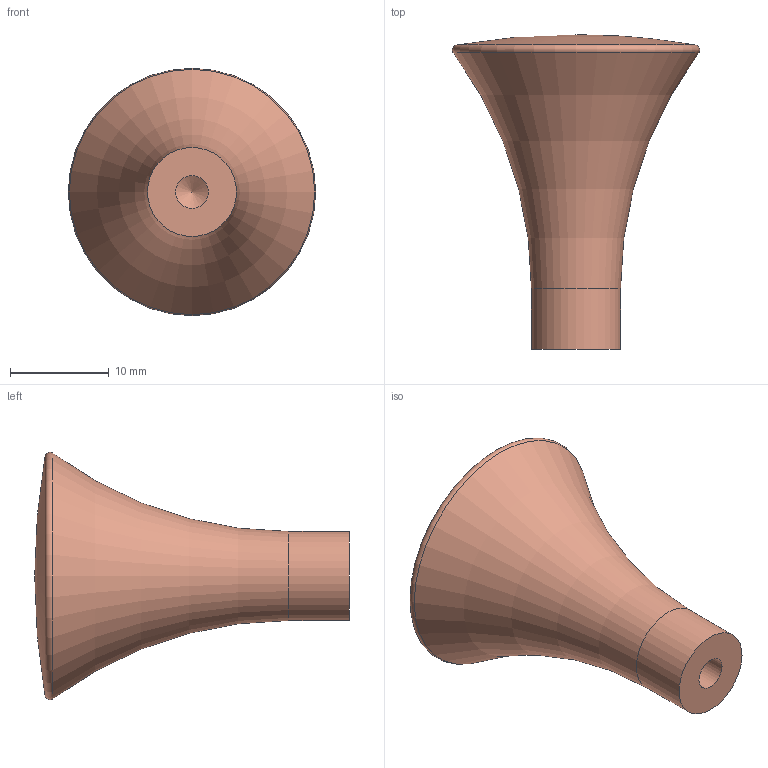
import cadquery as cq
import math

total_length = 31.8
head_radius = 12.5
stem_radius = 4.5
stem_length = 6.1
flare_radius = 40.0
rim_radius = 0.5
hole_diameter = 3.3
hole_depth = 10.0
drill_tip_angle = 118.0

flare_center_r = stem_radius + flare_radius

rim_center_r = head_radius - rim_radius
flare_to_rim_r = flare_center_r - rim_center_r
flare_to_rim_y = math.sqrt((flare_radius + rim_radius) ** 2 - flare_to_rim_r**2)
rim_center_y = stem_length + flare_to_rim_y
flare_sweep = math.atan2(flare_to_rim_y, flare_to_rim_r)

rim_to_peak = total_length - rim_center_y
dome_radius = (rim_center_r**2 + rim_to_peak**2 - rim_radius**2) / (2 * (rim_to_peak - rim_radius))
dome_center_y = total_length - dome_radius
dome_sweep = math.asin(rim_center_r / (dome_radius - rim_radius))


def flare_point(angle):
    """Point (radius, y) on the flare, at an angle measured from the end of the stem."""
    return (
        flare_center_r - flare_radius * math.cos(angle),
        stem_length + flare_radius * math.sin(angle),
    )


def dome_point(angle):
    """Point (radius, y) on the dome, at an angle measured from the axis."""
    return (
        dome_radius * math.sin(angle),
        dome_center_y + dome_radius * math.cos(angle),
    )


def make_body():
    """Stem, flare, rim and dome as one profile revolved about the Y axis."""
    profile = (
        cq.Workplane("XY")
        .moveTo(0, 0)
        .lineTo(stem_radius, 0)
        .lineTo(stem_radius, stem_length)
        .threePointArc(flare_point(flare_sweep / 2), flare_point(flare_sweep))
        .threePointArc((head_radius, rim_center_y), dome_point(dome_sweep))
        .threePointArc(dome_point(dome_sweep / 2), (0, total_length))
        .close()
    )
    return profile.revolve(360, (0, 0, 0), (0, 1, 0))


def make_hole():
    """Blind drilled hole from the stem end, with a conical bottom."""
    hole_radius = hole_diameter / 2
    tip_length = hole_radius / math.tan(math.radians(drill_tip_angle / 2))
    profile = (
        cq.Workplane("XY")
        .moveTo(0, 0)
        .lineTo(hole_radius, 0)
        .lineTo(hole_radius, hole_depth)
        .lineTo(0, hole_depth + tip_length)
        .close()
    )
    return profile.revolve(360, (0, 0, 0), (0, 1, 0))


result = make_body().cut(make_hole())